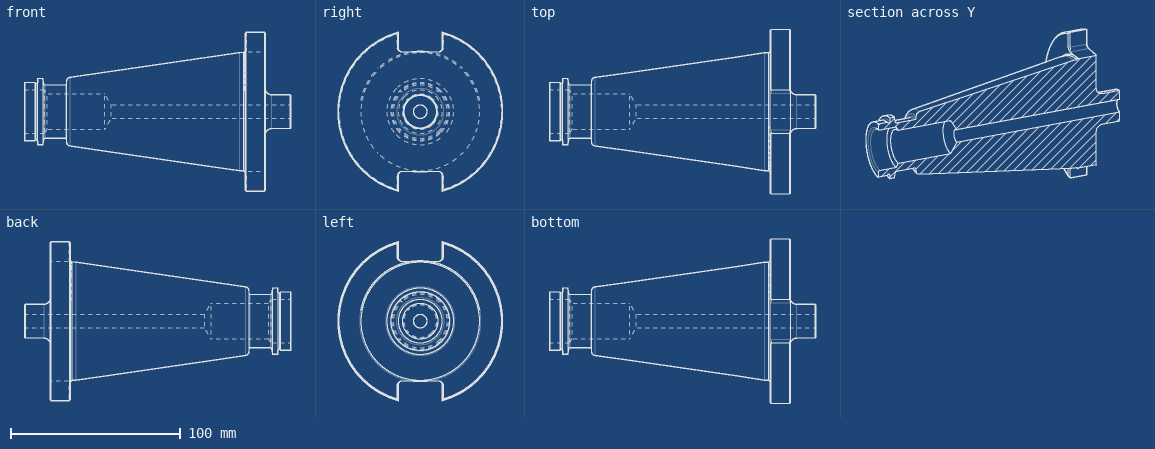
import cadquery as cq
import math

total_length = 157.0

collar_end = 6.0
collar_chamfer = 0.6
ring_start = 7.7
ring_edge = 10.7
ring_end = 11.5
cone_start = 24.6
cone_end = 126.9
flange_start = 129.8
flange_thickness = 12.1
flange_end = flange_start + flange_thickness

collar_diameter = 34.5
ring_diameter = 39.2
neck_diameter = 31.5
gauge_diameter = 69.9
flange_diameter = 97.3
stub_diameter = 20.1
taper_ratio = 7 / 24

groove_fillet = 1.0
neck_fillet = 0.6
cone_nose_fillet = 2.5
flange_root_fillet = 0.8
stub_root_fillet = 3.8
flange_front_chamfer = 0.8
flange_back_chamfer = 0.5
stub_end_chamfer = 0.5

slot_width = 25.7
slot_floor_height = 35.3
slot_corner_fillet = 2.0
slot_front_chamfer = 1.0
slot_back_chamfer = 0.5

mouth_fillet = 1.1
counterbore_diameter = 25.7
counterbore_depth = 11.6
thread_hole_diameter = 21.0
thread_hole_end = 47.1
through_hole_diameter = 7.8
drill_point_angle = 118.0


def rounded_outline(workplane, corners):
    """Closed outline through (u, v, fillet radius) corners; radius 0 keeps a corner sharp."""
    outline = workplane.moveTo(*corners[0][:2])
    last = len(corners) - 1
    for index in range(1, len(corners)):
        u, v, radius = corners[index]
        corner = cq.Vector(u, v)
        if radius == 0 or index == last:
            outline = outline.lineTo(u, v)
            continue
        to_previous = (cq.Vector(*corners[index - 1][:2]) - corner).normalized()
        to_next = (cq.Vector(*corners[index + 1][:2]) - corner).normalized()
        setback = radius / math.tan(to_previous.getAngle(to_next) / 2)
        arc_start = corner + to_previous * setback
        arc_end = corner + to_next * setback
        outline = outline.lineTo(arc_start.x, arc_start.y)
        outline = outline.tangentArcPoint((arc_end.x, arc_end.y), relative=False)
    return outline.close()


def revolve_about_axis(corners):
    return rounded_outline(cq.Workplane("XZ"), corners).revolve(360, (0, 0, 0), (1, 0, 0))


def make_body():
    collar_radius = collar_diameter / 2
    groove_radius = collar_radius - collar_chamfer
    ring_radius = ring_diameter / 2
    neck_radius = neck_diameter / 2
    gauge_radius = gauge_diameter / 2
    cone_small_radius = gauge_radius - (cone_end - cone_start) * taper_ratio / 2
    flange_radius = flange_diameter / 2
    stub_radius = stub_diameter / 2

    return revolve_about_axis([
        (0, 0, 0),
        (0, collar_radius, 0),
        (collar_end, collar_radius, 0),
        (collar_end + collar_chamfer, groove_radius, 0),
        (ring_start, groove_radius, groove_fillet),
        (ring_start, ring_radius, 0),
        (ring_edge, ring_radius, 0),
        (ring_end, neck_radius, neck_fillet),
        (cone_start, neck_radius, neck_fillet),
        (cone_start, cone_small_radius, cone_nose_fillet),
        (cone_end, gauge_radius, 0),
        (flange_start, gauge_radius, flange_root_fillet),
        (flange_start, flange_radius - flange_front_chamfer, 0),
        (flange_start + flange_front_chamfer, flange_radius, 0),
        (flange_end - flange_back_chamfer, flange_radius, 0),
        (flange_end, flange_radius - flange_back_chamfer, 0),
        (flange_end, stub_radius, stub_root_fillet),
        (total_length - stub_end_chamfer, stub_radius, 0),
        (total_length, stub_radius - stub_end_chamfer, 0),
        (total_length, 0, 0),
    ])


def make_bore():
    counterbore_radius = counterbore_diameter / 2
    thread_hole_radius = thread_hole_diameter / 2
    through_hole_radius = through_hole_diameter / 2
    point_slope = math.tan(math.radians(drill_point_angle / 2))
    step_length = (counterbore_radius - thread_hole_radius) / point_slope
    point_length = (thread_hole_radius - through_hole_radius) / point_slope

    stepped_hole = revolve_about_axis([
        (0, 0, 0),
        (0, counterbore_radius, 0),
        (counterbore_depth, counterbore_radius, 0),
        (counterbore_depth + step_length, thread_hole_radius, 0),
        (thread_hole_end, thread_hole_radius, 0),
        (thread_hole_end + point_length, through_hole_radius, 0),
        (total_length, through_hole_radius, 0),
        (total_length, 0, 0),
    ])
    mouth_round = (
        cq.Workplane("XZ")
        .moveTo(0, counterbore_radius)
        .lineTo(0, counterbore_radius + mouth_fillet)
        .radiusArc((mouth_fillet, counterbore_radius), -mouth_fillet)
        .close()
        .revolve(360, (0, 0, 0), (1, 0, 0))
    )
    return stepped_hole.union(mouth_round)


def slot_section(x, widening):
    """Slot cross-section at a station on X, each wall moved outward by the widening."""
    half_width = slot_width / 2 + widening
    corner_fillet = slot_corner_fillet + widening
    slot_top = flange_diameter / 2
    corners = [
        (-half_width, slot_top, 0),
        (-half_width, slot_floor_height, corner_fillet),
        (half_width, slot_floor_height, corner_fillet),
        (half_width, slot_top, 0),
    ]
    return rounded_outline(cq.Workplane("YZ", origin=(x, 0, 0)), corners)


def make_slot():
    """Cutter for the +Z slot; its walls flare out at both faces of the flange."""
    slot = slot_section(flange_start, 0).extrude(flange_thickness)
    flares = (
        (flange_start, slot_front_chamfer, flange_start + slot_front_chamfer),
        (flange_end, slot_back_chamfer, flange_end - slot_back_chamfer),
    )
    for face_x, chamfer, inner_x in flares:
        wide_section = slot_section(face_x, chamfer).val()
        narrow_section = slot_section(inner_x, 0).val()
        slot = slot.union(cq.Workplane(cq.Solid.makeLoft([wide_section, narrow_section], True)))
    return slot


result = make_body().cut(make_bore())
for slot_angle in (0, 180):
    result = result.cut(make_slot().rotate((0, 0, 0), (1, 0, 0), slot_angle))